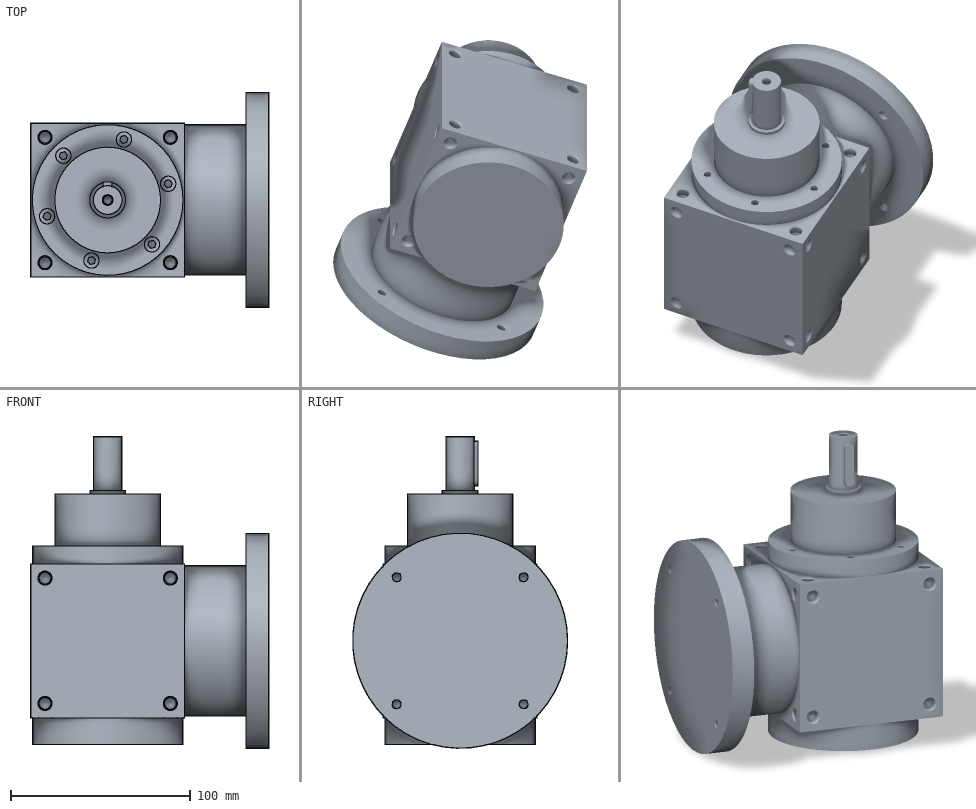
import cadquery as cq
import math


BLOCK_SIDE = 86.0
HUB_DIAMETER = 84.0
COVER_HEIGHT = 10.0
BASE_HEIGHT = 15.0
BOSS_DIAMETER = 59.0
BOSS_HEIGHT = 29.0

NECK_LENGTH = 34.1
FLANGE_DIAMETER = 120.0
FLANGE_THICKNESS = 12.9
FLANGE_HOLE_DIAMETER = 4.9
FLANGE_HOLE_MOUTH = 6.0
FLANGE_BOLT_CIRCLE = 100.0
FLANGE_HOLE_COUNT = 4
FLANGE_FIRST_ANGLE = 45

CORNER_HOLE_DIAMETER = 6.6
CORNER_HOLE_MOUTH = 7.8
CORNER_HOLE_DEPTH = 4.5
CORNER_HOLE_OFFSET = 35.0

SCREW_COUNT = 6
SCREW_CIRCLE = 70.0
SCREW_FIRST_ANGLE = 15
SCREW_HEAD_DIAMETER = 8.5
SCREW_HEAD_SINK = 0.09
SOCKET_WIDTH = 4.0
SOCKET_DEPTH = 3.5

COLLAR_DIAMETER = 20.0
COLLAR_HEIGHT = 2.0
SHAFT_DIAMETER = 16.0
SHAFT_LENGTH = 30.1
SHAFT_HOLE_DIAMETER = 4.9
SHAFT_HOLE_MOUTH = 6.0
SHAFT_HOLE_DEPTH = 15.7

KEY_WIDTH = 5.0
KEY_LENGTH = 25.0
KEY_HEIGHT = 5.0
KEY_PROJECTION = 2.1

DRILL_POINT_ANGLE = 118

HALF_BLOCK = BLOCK_SIDE / 2
COVER_TOP = HALF_BLOCK + COVER_HEIGHT
BOSS_TOP = COVER_TOP + BOSS_HEIGHT
COLLAR_TOP = BOSS_TOP + COLLAR_HEIGHT
SHAFT_TOP = COLLAR_TOP + SHAFT_LENGTH
FLANGE_BACK = HALF_BLOCK + NECK_LENGTH
FLANGE_FACE = FLANGE_BACK + FLANGE_THICKNESS
KEY_TOP = SHAFT_DIAMETER / 2 + KEY_PROJECTION
KEY_MIDDLE = COLLAR_TOP + SHAFT_LENGTH / 2

BLOCK_FACES = [
    ((1, 0, 0), 0),
    ((1, 0, 0), 90),
    ((1, 0, 0), 180),
    ((1, 0, 0), 270),
    ((0, 1, 0), 90),
    ((0, 1, 0), 270),
]


def cylinder_up(diameter, bottom, top):
    """Cylinder on the Z axis."""
    return cq.Workplane("XY", origin=(0, 0, bottom)).circle(diameter / 2).extrude(top - bottom)


def cylinder_along_x(diameter, start, end):
    """Cylinder on the X axis."""
    return cq.Workplane("YZ", origin=(start, 0, 0)).circle(diameter / 2).extrude(end - start)


def drilled_hole(diameter, mouth, depth, top):
    """Blind hole on the Z axis, drilled down from `top`, with a 45-degree mouth and a conical tip."""
    radius = diameter / 2
    mouth_radius = mouth / 2
    tip = radius / math.tan(math.radians(DRILL_POINT_ANGLE / 2))
    profile = [
        (0, top),
        (mouth_radius, top),
        (radius, top - (mouth_radius - radius)),
        (radius, top - depth),
        (0, top - depth - tip),
    ]
    return cq.Workplane("XZ").polyline(profile).close().revolve(360, (0, 0), (0, 1))


def corner_holes():
    """Four corner holes for each of the six block faces."""
    hole = drilled_hole(CORNER_HOLE_DIAMETER, CORNER_HOLE_MOUTH, CORNER_HOLE_DEPTH, HALF_BLOCK)
    holes = []
    for axis, angle in BLOCK_FACES:
        for x in (-CORNER_HOLE_OFFSET, CORNER_HOLE_OFFSET):
            for y in (-CORNER_HOLE_OFFSET, CORNER_HOLE_OFFSET):
                placed = hole.translate((x, y, 0)).rotate((0, 0, 0), axis, angle)
                holes.append(placed.val())
    return cq.Workplane(cq.Compound.makeCompound(holes))


def flange_holes():
    """Through holes around the flange, with 45-degree mouths on the side that faces the block."""
    holes = (
        cq.Workplane("YZ", origin=(FLANGE_BACK, 0, 0))
        .polarArray(FLANGE_BOLT_CIRCLE / 2, FLANGE_FIRST_ANGLE, 360, FLANGE_HOLE_COUNT)
    )
    mouth_depth = (FLANGE_HOLE_MOUTH - FLANGE_HOLE_DIAMETER) / 2
    bores = holes.circle(FLANGE_HOLE_DIAMETER / 2).extrude(FLANGE_THICKNESS)
    mouths = holes.circle(FLANGE_HOLE_MOUTH / 2).extrude(mouth_depth, taper=45)
    return bores.union(mouths)


def screw_recesses():
    """Shallow round sinks with hexagon sockets, one for each cover screw."""
    screws = (
        cq.Workplane("XY", origin=(0, 0, COVER_TOP))
        .polarArray(SCREW_CIRCLE / 2, SCREW_FIRST_ANGLE, 360, SCREW_COUNT)
    )
    socket_corner_width = SOCKET_WIDTH / math.cos(math.pi / 6)
    heads = screws.circle(SCREW_HEAD_DIAMETER / 2).extrude(-SCREW_HEAD_SINK)
    sockets = screws.polygon(6, socket_corner_width).extrude(-SOCKET_DEPTH)
    return heads.union(sockets)


def make_housing():
    housing = (
        cq.Workplane("XY").box(BLOCK_SIDE, BLOCK_SIDE, BLOCK_SIDE)
        .union(cylinder_up(HUB_DIAMETER, -HALF_BLOCK - BASE_HEIGHT, COVER_TOP))
        .union(cylinder_up(BOSS_DIAMETER, COVER_TOP, BOSS_TOP))
        .union(cylinder_along_x(HUB_DIAMETER, 0, FLANGE_BACK))
        .union(cylinder_along_x(FLANGE_DIAMETER, FLANGE_BACK, FLANGE_FACE))
    )
    return housing.cut(corner_holes()).cut(flange_holes()).cut(screw_recesses())


def make_key():
    return (
        cq.Workplane("XZ", origin=(0, KEY_TOP, KEY_MIDDLE))
        .slot2D(KEY_LENGTH, KEY_WIDTH, 90)
        .extrude(KEY_HEIGHT)
    )


def make_shaft(key):
    shaft = (
        cylinder_up(COLLAR_DIAMETER, BOSS_TOP, COLLAR_TOP)
        .union(cylinder_up(SHAFT_DIAMETER, COLLAR_TOP, SHAFT_TOP))
    )
    centre_hole = drilled_hole(SHAFT_HOLE_DIAMETER, SHAFT_HOLE_MOUTH, SHAFT_HOLE_DEPTH, SHAFT_TOP)
    return shaft.cut(centre_hole).cut(key)


housing = make_housing()
key = make_key()
shaft = make_shaft(key)

result = cq.Compound.makeCompound([housing.val(), shaft.val(), key.val()])